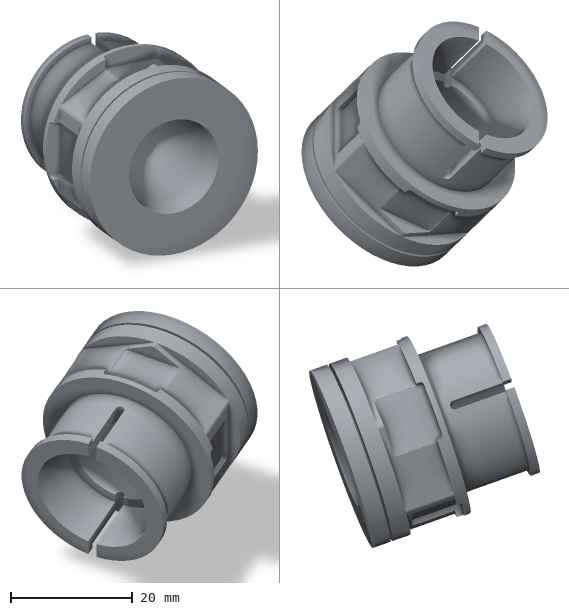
import cadquery as cq

rim_end = 1.5
sleeve_end = 13.0
flange_end = 15.07
hex_end = 23.55
groove_start = 26.55
groove_end = 27.03
length = 30.0

outer_dia = 31.0
rim_dia = 26.0
sleeve_dia = 24.0
groove_dia = 23.4
bore_dia = 16.5
counterbore_dia = 20.0
hex_across_flats = 27.03

counterbore_depth = 10.0

slot_width = 1.5
slot_length = 10.97

pocket_start = 13.95
pocket_end = 22.55
pocket_width = 10.0
pocket_floor = 12.6
pocket_corner_radius = 0.55


def disc(start, end, diameter):
    """Cylinder on the X axis between two axial stations."""
    return cq.Workplane("YZ", origin=(start, 0, 0)).circle(diameter / 2).extrude(end - start)


def hexagon():
    """Hexagon with corners toward +Z and -Z, its corners trimmed to the outer diameter."""
    prism = (
        cq.Workplane("YZ", origin=(flange_end, 0, 0))
        .polygon(6, hex_across_flats, circumscribed=True)
        .extrude(hex_end - flange_end)
    )
    return prism.intersect(disc(flange_end, hex_end, outer_dia))


def pocket(angle):
    """Cutter for one rounded pocket, turned about the X axis from +Z."""
    pocket_length = pocket_end - pocket_start
    cutter = (
        cq.Workplane("XY", origin=((pocket_start + pocket_end) / 2, 0, pocket_floor))
        .rect(pocket_length, pocket_width)
        .extrude(outer_dia / 2)
        .edges("|Z")
        .fillet(pocket_corner_radius)
    )
    return cutter.rotate((0, 0, 0), (1, 0, 0), angle)


def sleeve_slot():
    """Cutter that splits the sleeve through its top and bottom walls."""
    return cq.Workplane("XY").slot2D(2 * slot_length, slot_width).extrude(outer_dia / 2, both=True)


body = (
    disc(0, rim_end, rim_dia)
    .union(disc(rim_end, sleeve_end, sleeve_dia))
    .union(disc(sleeve_end, flange_end, outer_dia))
    .union(hexagon())
    .union(disc(hex_end, groove_start, outer_dia))
    .union(disc(groove_start, groove_end, groove_dia))
    .union(disc(groove_end, length, outer_dia))
)

body = body.cut(disc(0, length, bore_dia))
body = body.cut(disc(0, counterbore_depth, counterbore_dia))

body = body.cut(sleeve_slot())

for pocket_angle in (0, 90, 180, 270):
    body = body.cut(pocket(pocket_angle))

result = body